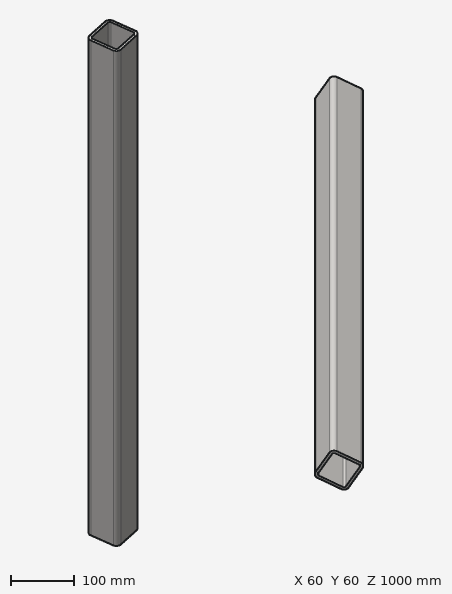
import cadquery as cq

length = 1000.0
side = 60.0
wall = 5.0
outer_radius = 8.5
inner_radius = outer_radius - wall
bore_side = side - 2 * wall


def rounded_bar(width, corner_radius):
    """Square bar with its four long edges rounded, centred on the Z axis."""
    bar = cq.Workplane("XY").rect(width, width).extrude(length)
    return bar.edges("|Z").fillet(corner_radius)


result = rounded_bar(side, outer_radius).cut(rounded_bar(bore_side, inner_radius))